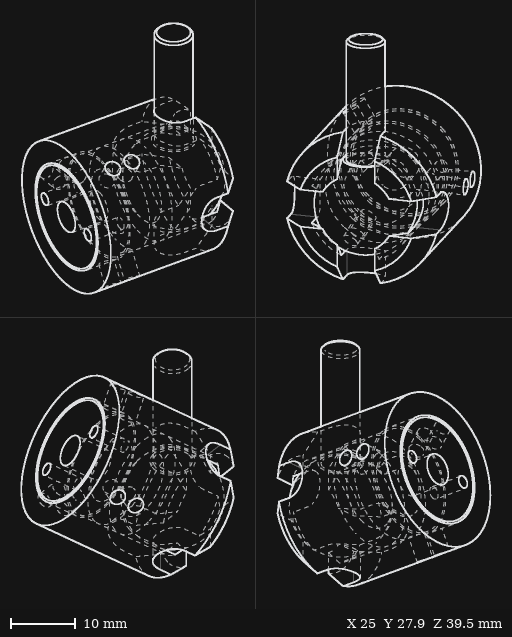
import cadquery as cq
import math

overall_height = 39.5

housing_diameter = 25.0
housing_length = 25.0
rear_chamfer = 3.0
slot_width = 6.1
side_hole_diameter = 2.5
side_hole_depths = (4.5, 8.0)
side_hole_angles = (-90, 30, 150)
bore_diameter = 16.83
bore_depth = 22.8

ball_diameter = 16.0
ball_center_y = 19.9
ball_flat_diameter = 7.0
rod_diameter = 6.05
rod_chamfer = 0.4

cap_diameter = 17.55
cap_length = 6.0
cap_face_diameter = 16.83
cap_rim_step = 0.08
cap_center_hole_diameter = 5.0
wrench_hole_diameter = 2.0
wrench_hole_spacing = 12.0

seat_front_y = 8.0
seat_front_diameter = 10.55
seat_length = 6.0
seat_cone_height = 1.8

housing_radius = housing_diameter / 2
ball_radius = ball_diameter / 2
rod_top_z = overall_height - housing_radius
ball_flat_z = math.sqrt(ball_radius**2 - (ball_flat_diameter / 2) ** 2)


def y_cylinder(diameter, y_start, length, x=0):
    """Cylinder along +Y that starts at y_start."""
    base = cq.Workplane("XZ", origin=(x, y_start, 0))
    return base.circle(diameter / 2).extrude(-length)


def ball_sphere():
    return cq.Workplane("XY").sphere(ball_radius).translate((0, ball_center_y, 0))


def slot_cutter(angle):
    """Round-ended slot from the axis out to the side at the given angle about Y, open at the rear."""
    straight_length = housing_length - ball_center_y
    round_end = cq.Workplane("XY").circle(slot_width / 2).extrude(housing_diameter)
    straight = cq.Workplane("XY").box(
        slot_width, straight_length, housing_diameter, centered=(True, False, False)
    )
    cutter = round_end.union(straight).translate((0, ball_center_y, 0))
    return cutter.rotate((0, 0, 0), (0, 1, 0), angle)


def side_hole_cutter(y, angle):
    """Radial hole from the axis out through the housing wall."""
    cutter = cq.Workplane("XY").circle(side_hole_diameter / 2).extrude(housing_diameter)
    return cutter.translate((0, y, 0)).rotate((0, 0, 0), (0, 1, 0), angle)


def make_housing():
    body = y_cylinder(housing_diameter, 0, housing_length).faces(">Y").chamfer(rear_chamfer)
    body = body.cut(y_cylinder(cap_diameter, 0, cap_length))
    bore_length = housing_length - cap_length
    cone_length = housing_length - bore_depth
    bore = y_cylinder(bore_diameter, cap_length, bore_length).faces(">Y").chamfer(cone_length)
    body = body.cut(bore)
    for angle in (0, 90, 180, 270):
        body = body.cut(slot_cutter(angle))
    for y in side_hole_depths:
        for angle in side_hole_angles:
            body = body.cut(side_hole_cutter(y, angle))
    return body


def make_ball_with_rod():
    above_flat = (
        cq.Workplane("XY", origin=(0, ball_center_y, ball_flat_z))
        .rect(ball_diameter, ball_diameter)
        .extrude(ball_radius)
    )
    rod = (
        cq.Workplane("XY", origin=(0, ball_center_y, 0))
        .circle(rod_diameter / 2)
        .extrude(rod_top_z)
        .faces(">Z")
        .chamfer(rod_chamfer)
    )
    return ball_sphere().cut(above_flat).union(rod)


def make_seat():
    """Plug with a conical front and a spherical cup that fits the ball."""
    cone_width = (bore_diameter - seat_front_diameter) / 2
    body = y_cylinder(bore_diameter, seat_front_y, seat_length)
    body = body.faces("<Y").chamfer(seat_cone_height, cone_width)
    return body.cut(ball_sphere())


def make_cap():
    body = y_cylinder(cap_diameter, cap_rim_step, cap_length - cap_rim_step)
    body = body.union(y_cylinder(cap_face_diameter, 0, cap_length))
    body = body.cut(y_cylinder(cap_center_hole_diameter, 0, cap_length))
    for side in (-1, 1):
        x = side * wrench_hole_spacing / 2
        body = body.cut(y_cylinder(wrench_hole_diameter, 0, cap_length, x))
    return body


housing = make_housing()
ball_with_rod = make_ball_with_rod()
seat = make_seat()
cap = make_cap()

result = cq.Compound.makeCompound([housing.val(), ball_with_rod.val(), seat.val(), cap.val()])